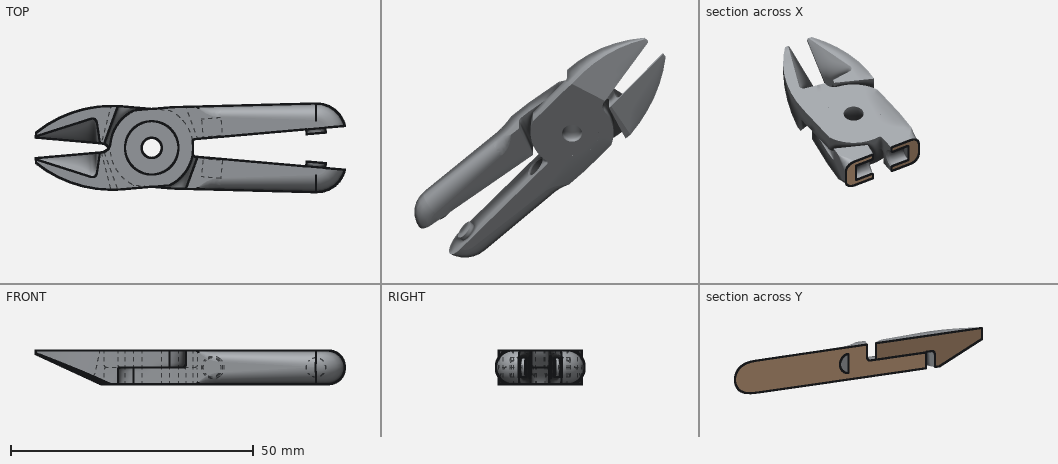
import cadquery as cq
import math


thickness = 7.0
half_thickness = thickness / 2
open_angle = 5.0
reach = 60.0

pin_diameter = 11.0
pin_bore = 4.1
lap_radius = 8.55
lap_half_width = 8.0
lap_flat_end = math.sqrt(lap_radius**2 - lap_half_width**2)
nose_fillet = 2.0
fork_fillet = 0.5

shoulder_distance = 9.5
shoulder_angle = 15.0
shoulder_fillet = 0.6

jaw_length = 24.0
jaw_back = -6.7
jaw_back_radius = 25.0
jaw_center_y = lap_half_width - jaw_back_radius
tip_width = jaw_center_y + math.sqrt(jaw_back_radius**2 - (jaw_length + jaw_back)**2)

bevel_end = -10.4
bevel_slope = 25.0
bevel_skew = 9.3

valley_x = -11.95
valley_z = -2.35
valley_angle = 47.8
pocket_floor_rise = 17.2
pocket_wall_lean = 17.7
pocket_fillet = 1.0

handle_gap = 1.0
handle_corner = 5.0
handle_taper = 3.53
lead_start = 4.9
lead_end = 9.9
round_end = 29.5
lead_radius = 2.4
end_flat = 0.01
end_radius = half_thickness - end_flat
tip_radius = 6.0
handle_depth = 12.0
lead_steps = 5

stop_diameter = 4.0
stop_height = 1.0
stop_x = 34.0

spring_hole_diameter = 4.0
spring_hole_depth = 4.0
spring_hole_chamfer = 0.3
spring_hole_x = 12.75


def lever_plan():
    """Full-thickness lever with its plan outline, left long at the handle end."""
    jaw_mid_angle = math.radians(90) + 0.5 * math.asin((jaw_length + jaw_back) / jaw_back_radius)
    jaw_mid = (jaw_back + jaw_back_radius * math.cos(jaw_mid_angle),
               jaw_center_y + jaw_back_radius * math.sin(jaw_mid_angle))
    lap_diagonal = lap_radius * math.sqrt(0.5)
    fork_x = math.sqrt(lap_radius**2 - handle_gap**2)
    outer_end_y = -lap_half_width + (reach - handle_corner) * math.tan(math.radians(handle_taper))
    plan = (
        cq.Workplane("XY").workplane(offset=-half_thickness)
        .moveTo(-jaw_length, 0)
        .lineTo(-jaw_length, tip_width)
        .threePointArc(jaw_mid, (jaw_back, lap_half_width))
        .lineTo(lap_flat_end, lap_half_width)
        .threePointArc((lap_diagonal, lap_diagonal), (fork_x, -handle_gap))
        .lineTo(reach, -handle_gap)
        .lineTo(reach, outer_end_y)
        .lineTo(handle_corner, -lap_half_width)
        .lineTo(-lap_flat_end, -lap_half_width)
        .threePointArc((-lap_diagonal, -lap_diagonal), (-lap_radius, 0))
        .close()
        .extrude(thickness)
    )
    nose_edge = cq.selectors.NearestToPointSelector((-lap_radius, 0, 0))
    fork_edge = cq.selectors.NearestToPointSelector((fork_x, -handle_gap, 0))
    plan = plan.edges("|Z").edges(nose_edge).fillet(nose_fillet)
    return plan.edges("|Z").edges(fork_edge).fillet(fork_fillet)


def jaw_bevel():
    """Wedge below the sloping underside of the jaw."""
    wedge = (
        cq.Workplane("XZ")
        .polyline([(0, 0), (-reach, 0), (-reach, reach * math.tan(math.radians(bevel_slope)))])
        .close()
        .extrude(reach / 2, both=True)
    )
    return wedge.rotate((0, 0, 0), (0, 0, 1), -bevel_skew).translate((bevel_end, 0, -half_thickness))


def jaw_pocket():
    """Rounded V trough that leaves the cutting edge along the jaw's inner face."""
    floor = math.radians(pocket_floor_rise)
    wall = math.radians(pocket_wall_lean)
    climb = math.radians(valley_angle)
    section = cq.Plane(
        origin=(valley_x, 0, valley_z),
        xDir=(1, 0, 0),
        normal=(0, -math.cos(climb), -math.sin(climb)),
    )
    trough_size = 20.0
    trough = (
        cq.Workplane(section)
        .polyline([
            (0, 0),
            (trough_size * math.sin(wall), trough_size * math.cos(wall)),
            (-trough_size * math.cos(floor), trough_size * math.sin(floor)),
        ])
        .close()
        .extrude(trough_size, both=True)
    )
    valley = cq.selectors.NearestToPointSelector((valley_x, 0, valley_z))
    return trough.edges(valley).fillet(pocket_fillet)


def handle_section(along, radius):
    """Handle cross-section with its two outer edges rounded."""
    bend = radius * (1 - math.sqrt(0.5))
    h = half_thickness
    return (
        cq.Workplane("YZ").workplane(offset=along)
        .moveTo(handle_depth, -h)
        .lineTo(radius, -h)
        .threePointArc((bend, bend - h), (0, radius - h))
        .lineTo(0, h - radius)
        .threePointArc((bend, h - bend), (radius, h))
        .lineTo(handle_depth, h)
        .close()
        .wires().val()
    )


def handle_waste():
    """Everything to take off the handle to round its outer edges and its end."""
    lead_in = []
    for step in range(lead_steps + 1):
        t = step / lead_steps
        growth = 1 - (1 - t)**2
        radius = max(lead_radius * growth, end_flat)
        lead_in.append(handle_section(lead_start + t * (lead_end - lead_start), radius))
    lead_loft = cq.Solid.makeLoft(lead_in, False)
    grip_loft = cq.Solid.makeLoft([lead_in[-1], handle_section(round_end, end_radius)], True)
    core = tip_radius - end_radius
    end_round = (
        cq.Workplane("XZ")
        .moveTo(0, -half_thickness)
        .lineTo(core, -half_thickness)
        .threePointArc((tip_radius, 0), (core, half_thickness))
        .lineTo(0, half_thickness)
        .close()
        .revolve(360, (0, 0), (0, 1))
        .translate((round_end, tip_radius, 0))
    )
    margin = 1.0
    waste = (
        cq.Workplane("XY")
        .box(reach, handle_depth, thickness + 2 * margin, centered=(False, False, True))
        .translate((lead_start, -margin, 0))
        .cut(cq.Workplane(lead_loft))
        .cut(cq.Workplane(grip_loft))
        .cut(end_round)
    )
    return waste.rotate((0, 0, 0), (0, 0, 1), handle_taper).translate((handle_corner, -lap_half_width, 0))


def stop_button():
    return (
        cq.Workplane("XZ", origin=(stop_x, -handle_gap, 0))
        .circle(stop_diameter / 2)
        .extrude(-stop_height)
    )


def spring_hole():
    hole_radius = spring_hole_diameter / 2
    mouth_radius = hole_radius + spring_hole_chamfer
    return (
        cq.Workplane("XY", origin=(spring_hole_x, -handle_gap, 0))
        .polyline([
            (0, 0),
            (mouth_radius, 0),
            (hole_radius, -spring_hole_chamfer),
            (hole_radius, -spring_hole_depth),
            (0, -spring_hole_depth),
        ])
        .close()
        .revolve(360, (0, 0), (0, 1))
    )


def lap_relief():
    """Room above the joint plane for the other lever's lap."""
    room = (
        cq.Workplane("XY")
        .box(2 * shoulder_distance, reach, thickness, centered=(True, True, False))
        .edges("|Y and <Z").fillet(shoulder_fillet)
    )
    return room.rotate((0, 0, 0), (0, 0, 1), -shoulder_angle)


def closed_lever():
    """Lever in its closed pose, before the relief for the other lap."""
    pin_hole = cq.Workplane("XY").circle(pin_diameter / 2).extrude(thickness, both=True)
    return (
        lever_plan()
        .cut(jaw_bevel())
        .cut(jaw_pocket())
        .cut(handle_waste())
        .union(stop_button())
        .cut(spring_hole())
        .cut(pin_hole)
    )


def turned(lever, angle):
    return lever.rotate((0, 0, 0), (0, 0, 1), angle)


lower_lever = turned(closed_lever().cut(lap_relief()), -open_angle)

upper_relief = lap_relief().mirror("XZ").mirror("XY")
upper_lever = turned(closed_lever().mirror("XZ").cut(upper_relief), open_angle)

pivot_pin = (
    cq.Workplane("XY").workplane(offset=-half_thickness)
    .circle(pin_diameter / 2)
    .circle(pin_bore / 2)
    .extrude(thickness)
)

result = cq.Compound.makeCompound([
    lower_lever.solids().val(),
    upper_lever.solids().val(),
    pivot_pin.val(),
])